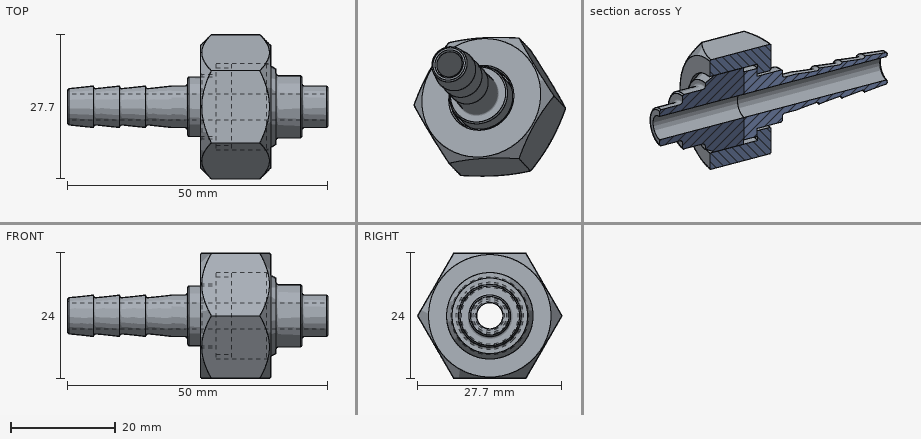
import cadquery as cq
import math

total_length = 50.0
bore_radius = 5.0 / 2
edge_chamfer = 0.3
root_fillet = 0.5

barb_pitch = 5.0
barb_count = 4
barb_radius = 8.0 / 2
barb_root_radius = 3.5
barb_fillet = 0.45
collar_start = 23.0
collar_radius = 11.5 / 2
flange_radius = 14.95 / 2
flange_length = 3.0

nut_start = 25.5
nut_length = 13.5
nut_across_flats = 24.0
nut_face_radius = 23.5 / 2
nut_wall = 3.0
nut_bore_radius = 12.3 / 2
thread_radius = 16.6 / 2

adapter_face = 40.0
adapter_face_radius = 14.5 / 2
lead_in_angle = 30.0
shoulder_face = 45.0
shoulder_radius = 12.0 / 2
spigot_radius = 8.0 / 2

nut_end = nut_start + nut_length
nut_corner_radius = nut_across_flats / math.sqrt(3)
flange_start = nut_start + nut_wall
joint_face = flange_start + flange_length
barbs_end = barb_pitch * barb_count
arc_middle = math.sqrt(0.5)


def revolve_about_x(profile):
    """Close an (x, radius) profile and turn it around the X axis."""
    return profile.close().revolve(360, (0, 0, 0), (1, 0, 0))


def step_down(profile, x, radius, fillet):
    """Go down a face looking toward +X and round its foot onto the given radius."""
    middle = (x + fillet * (1 - arc_middle), radius + fillet * (1 - arc_middle))
    return profile.lineTo(x, radius + fillet).threePointArc(middle, (x + fillet, radius))


def make_nozzle():
    """Barbed hose tail with a collar and a flange that the nut pulls on."""
    profile = (
        cq.Workplane("XY")
        .moveTo(edge_chamfer, bore_radius)
        .lineTo(0, bore_radius + edge_chamfer)
        .lineTo(0, barb_root_radius - edge_chamfer)
        .lineTo(edge_chamfer, barb_root_radius)
    )
    for barb in range(1, barb_count):
        profile = profile.lineTo(barb * barb_pitch, barb_radius)
        profile = step_down(profile, barb * barb_pitch, barb_root_radius, barb_fillet)
    fillet_middle = (
        collar_start - root_fillet * (1 - arc_middle),
        barb_radius + root_fillet * (1 - arc_middle),
    )
    profile = (
        profile.lineTo(barbs_end, barb_radius)
        .lineTo(collar_start - root_fillet, barb_radius)
        .threePointArc(fillet_middle, (collar_start, barb_radius + root_fillet))
        .lineTo(collar_start, collar_radius - edge_chamfer)
        .lineTo(collar_start + edge_chamfer, collar_radius)
        .lineTo(flange_start, collar_radius)
        .lineTo(flange_start, flange_radius)
        .lineTo(joint_face, flange_radius)
        .lineTo(joint_face, bore_radius)
    )
    return revolve_about_x(profile)


def make_nut():
    """Hexagon nut with corners along Y, chamfered at 45 degrees on both ends."""
    hexagon = (
        cq.Workplane("YZ", origin=(nut_start, 0, 0))
        .polygon(6, 2 * nut_corner_radius)
        .extrude(nut_length)
    )
    corner_chamfer = nut_corner_radius - nut_face_radius
    envelope = (
        cq.Workplane("YZ", origin=(nut_start, 0, 0))
        .circle(nut_corner_radius)
        .extrude(nut_length)
        .edges()
        .chamfer(corner_chamfer)
    )
    opening = revolve_about_x(
        cq.Workplane("XY")
        .moveTo(nut_start, 0)
        .lineTo(nut_start, nut_bore_radius + edge_chamfer)
        .lineTo(nut_start + edge_chamfer, nut_bore_radius)
        .lineTo(flange_start, nut_bore_radius)
        .lineTo(flange_start, thread_radius)
        .lineTo(nut_end, thread_radius)
        .lineTo(nut_end, 0)
    )
    return hexagon.intersect(envelope).cut(opening)


def make_adapter():
    """Adapter that fills the nut thread and steps down to a plain spigot."""
    lead_in_drop = thread_radius - adapter_face_radius
    lead_in_start = adapter_face - lead_in_drop / math.tan(math.radians(lead_in_angle))
    profile = (
        cq.Workplane("XY")
        .moveTo(joint_face, bore_radius)
        .lineTo(joint_face, thread_radius)
        .lineTo(lead_in_start, thread_radius)
        .lineTo(adapter_face, adapter_face_radius)
    )
    profile = step_down(profile, adapter_face, shoulder_radius, root_fillet)
    profile = (
        profile.lineTo(shoulder_face - edge_chamfer, shoulder_radius)
        .lineTo(shoulder_face, shoulder_radius - edge_chamfer)
    )
    profile = step_down(profile, shoulder_face, spigot_radius, root_fillet)
    profile = (
        profile.lineTo(total_length - edge_chamfer, spigot_radius)
        .lineTo(total_length, spigot_radius - edge_chamfer)
        .lineTo(total_length, bore_radius)
    )
    return revolve_about_x(profile)


nozzle = make_nozzle()
nut = make_nut()
adapter = make_adapter()

result = cq.Compound.makeCompound([nozzle.val(), nut.val(), adapter.val()])